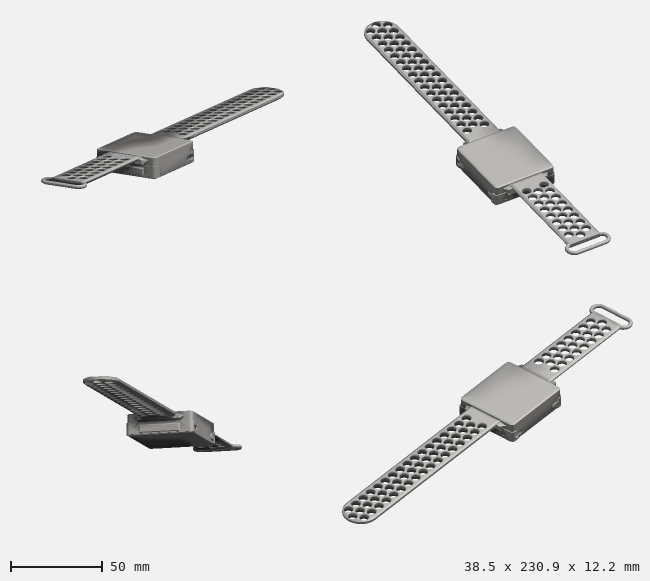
import cadquery as cq
import math


case_height = 12.2
cover_width = 37.5
cover_length = 42.0
cover_corner_radius = 1.8
bevel_width = 1.0
bevel_height = 0.35
cover_end = cover_length / 2

base_width = 38.5
base_length = 43.0
floor_thickness = 1.2
floor_chamfer = 0.5
pad_corner_radius = 2.3
pad_bottom = 0.7
pad_top = 7.2
pad_wrap = 4.6
pad_slant = 1.2
notch_narrow_half = 11.8
notch_wide_half = 14.8
notch_wide_z = 4.5
notch_floor_half = 13.2
notch_floor_z = 2.3
panel_width = 23.5
panel_bottom = 1.0
panel_top = 5.8
panel_raise = 0.5
panel_chamfer = 0.7

slot_length = 5.8
slot_height = 2.2
slot_y = 16.0
slot_rim = 0.5
slot_flare_depth = 1.05
button_length = 7.0
button_height = 3.7
button_chamfer = 0.58
button_depth = 2.3
side_feature_z = 3.7

strap_width = 20.3
strap_bevel_width = 1.2
strap_bevel_height = 0.7
long_strap_top = 11.8
long_strap_thickness = 3.2
long_strap_under_bevel = 1.5
long_strap_reach = 139.0
short_strap_top = case_height
short_strap_thickness = 2.3
hole_diameter = 5.0
hole_chamfer = 0.35
hole_pitch = 6.35
column_spacing = hole_pitch * math.sqrt(3) / 2
first_hole_y = 31.28
long_strap_rows = 17
short_strap_rows = 8

shoulder_root_half = 14.0
shoulder_end_half = 12.0
shoulder_reach = 3.5
shoulder_bottom = 7.2
shoulder_bottom_half = 11.8
shoulder_end_thickness = 4.0
shoulder_wing_drop = 2.0
gusset_reach = 6.2
dip_length = 1.8
dip_depth = 0.7

loop_wire = 2.2
loop_width = 27.5
loop_height = 10.2
loop_end = 91.9
loop_y = loop_end - loop_height / 2


def rounded_block(width, length, bottom, top, corner_radius):
    block = cq.Workplane("XY", origin=(0, 0, (bottom + top) / 2)).box(width, length, top - bottom)
    return block.edges("|Z").fillet(corner_radius)


def prism_along_x(points, half_length):
    """Closed outline of (y, z) points, extruded to both sides of X = 0."""
    return cq.Workplane("YZ").polyline(points).close().extrude(half_length, both=True)


def prism_along_y(points, half_length):
    """Closed outline of (x, z) points, extruded to both sides of Y = 0."""
    return cq.Workplane("XZ").polyline(points).close().extrude(half_length, both=True)


def side_slot_sketch(x, y, length, height):
    return cq.Workplane("YZ", origin=(x, y, side_feature_z)).slot2D(length, height)



def make_button():
    button = side_slot_sketch(-base_width / 2, -slot_y, button_length, button_height).extrude(button_depth)
    return button.faces("<X").chamfer(button_chamfer)


def button_pocket():
    start = -base_width / 2 - button_depth
    return side_slot_sketch(start, -slot_y, button_length, button_height).extrude(2 * button_depth)


def through_slot():
    """Slot along X whose two mouths flare outward."""
    half = base_width / 2
    slot = side_slot_sketch(-half, slot_y, slot_length, slot_height).extrude(base_width)
    flare_angle = math.degrees(math.atan2(slot_rim, slot_flare_depth))
    mouth = side_slot_sketch(-half, slot_y, slot_length + 2 * slot_rim, slot_height + 2 * slot_rim)
    mouth = mouth.extrude(slot_flare_depth, taper=flare_angle)
    return slot.union(mouth).union(mouth.mirror("YZ"))


def cover_block():
    block = rounded_block(cover_width, cover_length, floor_thickness, case_height, cover_corner_radius)
    return block.faces(">Z").chamfer(bevel_height, bevel_width)


def make_cover():
    return cover_block().cut(through_slot()).cut(button_pocket())


def corner_pads():
    """Band around the case, opened along the long sides and at both ends to leave four corner pads."""
    band = rounded_block(base_width, base_length, pad_bottom, pad_top, pad_corner_radius)
    gap_half = base_length / 2 - pad_wrap
    side_gap = prism_along_x(
        [
            (-gap_half - pad_slant, pad_top),
            (-gap_half, pad_top - pad_slant),
            (-gap_half, 0),
            (gap_half, 0),
            (gap_half, pad_top - pad_slant),
            (gap_half + pad_slant, pad_top),
        ],
        base_width,
    )
    end_notch = prism_along_y(
        [
            (-notch_narrow_half, pad_top),
            (-notch_wide_half, notch_wide_z),
            (-notch_floor_half, notch_floor_z),
            (notch_floor_half, notch_floor_z),
            (notch_wide_half, notch_wide_z),
            (notch_narrow_half, pad_top),
        ],
        base_length,
    )
    return band.cut(side_gap).cut(end_notch)


def end_panels():
    length = base_length + 2 * panel_raise
    panels = cq.Workplane("XY", origin=(0, 0, panel_bottom)).box(
        panel_width, length, panel_top - panel_bottom, centered=(True, True, False)
    )
    return panels.faces("<Y or >Y").chamfer(panel_chamfer)


def make_base():
    floor = rounded_block(cover_width, cover_length, 0, floor_thickness, cover_corner_radius)
    floor = floor.faces("<Z").chamfer(floor_chamfer)
    base = floor.union(corner_pads()).union(end_panels())
    return base.cut(cover_block()).cut(through_slot()).cut(button_pocket())



def strap_holes(top, rows, outward):
    """Cutters for three staggered columns of holes and for the chamfers at the strap's upper face."""
    centres = []
    for row in range(rows):
        y = first_hole_y + row * hole_pitch
        centres.append((-column_spacing, outward * y))
        centres.append((column_spacing, outward * y))
        centres.append((0, outward * (y + hole_pitch / 2)))
    radius = hole_diameter / 2
    holes = cq.Workplane("XY").pushPoints(centres).circle(radius).extrude(case_height)
    mouths = cq.Workplane("XY", origin=(0, 0, top)).pushPoints(centres).circle(radius + hole_chamfer)
    return holes, mouths.extrude(-hole_chamfer, taper=45)


def strap_shoulder(top, outward):
    """Wedge that widens toward the cover in plan and narrows toward its underside."""
    root = outward * cover_end
    end = root + outward * shoulder_reach
    plan = (
        cq.Workplane("XY")
        .polyline(
            [
                (-shoulder_root_half, root),
                (shoulder_root_half, root),
                (shoulder_end_half, end),
                (-shoulder_end_half, end),
            ]
        )
        .close()
        .extrude(case_height)
    )
    side = prism_along_x(
        [
            (root, shoulder_bottom),
            (end, top - shoulder_end_thickness),
            (end, top),
            (root, top),
        ],
        base_width,
    )
    wing_z = top - shoulder_wing_drop
    strap_top_half = strap_width / 2 - strap_bevel_width
    front = prism_along_y(
        [
            (-shoulder_bottom_half, shoulder_bottom),
            (shoulder_bottom_half, shoulder_bottom),
            (shoulder_root_half, wing_z),
            (strap_top_half, top - dip_depth),
            (-strap_top_half, top - dip_depth),
            (-shoulder_root_half, wing_z),
        ],
        2 * cover_end,
    )
    return plan.intersect(side).intersect(front)


def strap_gusset(top, thickness, outward):
    """Sloping rib that runs out from the shoulder's underside to the underside of the strap."""
    root = outward * cover_end
    end = root + outward * shoulder_reach
    tip = root + outward * gusset_reach
    underside = top - thickness
    points = [(root, underside), (root, shoulder_bottom), (end, top - shoulder_end_thickness), (tip, underside)]
    return prism_along_x(points, strap_width / 2 - strap_bevel_width)


def strap_dip(top, outward):
    """Wedge above the strap's upper face where it slopes down to meet the cover."""
    root = outward * cover_end
    return prism_along_x([(root, top), (root + outward * dip_length, top), (root, top - dip_depth)], base_width)


def finish_strap(strip, top, thickness, rows, outward):
    holes, mouths = strap_holes(top, rows, outward)
    strap = strip.union(strap_shoulder(top, outward)).union(strap_gusset(top, thickness, outward))
    return strap.cut(strap_dip(top, outward)).cut(holes).cut(mouths)


def make_long_strap():
    half = strap_width / 2
    arc_start = long_strap_reach - half
    strip = (
        cq.Workplane("XY", origin=(0, 0, long_strap_top - long_strap_thickness))
        .moveTo(-half, cover_end)
        .lineTo(half, cover_end)
        .lineTo(half, arc_start)
        .threePointArc((0, long_strap_reach), (-half, arc_start))
        .close()
        .extrude(long_strap_thickness)
    )
    strip = strip.faces(">Z").edges("not <Y").chamfer(strap_bevel_height, strap_bevel_width)
    strip = strip.faces("<Z").edges("not <Y").chamfer(long_strap_under_bevel, strap_bevel_width)
    return finish_strap(strip, long_strap_top, long_strap_thickness, long_strap_rows, 1)


def buckle_loop(centre_z):
    """Round wire bent into an oval of two straights and two half rings."""
    wire_radius = loop_wire / 2
    bend_radius = loop_height / 2 - wire_radius
    half_straight = (loop_width - loop_height) / 2
    path = (
        cq.Workplane("XY", origin=(0, -loop_y, centre_z))
        .moveTo(-half_straight, -bend_radius)
        .lineTo(half_straight, -bend_radius)
        .threePointArc((half_straight + bend_radius, 0), (half_straight, bend_radius))
        .lineTo(-half_straight, bend_radius)
        .threePointArc((-half_straight - bend_radius, 0), (-half_straight, -bend_radius))
        .close()
    )
    section = cq.Workplane("YZ", origin=(-half_straight, -loop_y - bend_radius, centre_z))
    return section.circle(wire_radius).sweep(path)


def make_short_strap():
    strip_end = loop_y - loop_height / 2 + loop_wire
    middle_z = short_strap_top - short_strap_thickness / 2
    strip = cq.Workplane("XY", origin=(0, -(cover_end + strip_end) / 2, middle_z)).box(
        strap_width, strip_end - cover_end, short_strap_thickness
    )
    strip = strip.faces(">Z").edges("|Y").chamfer(strap_bevel_height, strap_bevel_width)
    strip = strip.faces("<Z").edges("|Y").chamfer(strap_bevel_height, strap_bevel_width)
    strap = finish_strap(strip, short_strap_top, short_strap_thickness, short_strap_rows, -1)
    return strap.union(buckle_loop(middle_z))


cover = make_cover()
base = make_base()
button = make_button()
long_strap = make_long_strap()
short_strap = make_short_strap()
bodies = [cover, base, button, long_strap, short_strap]
result = cq.Compound.makeCompound([body.solids().val() for body in bodies])